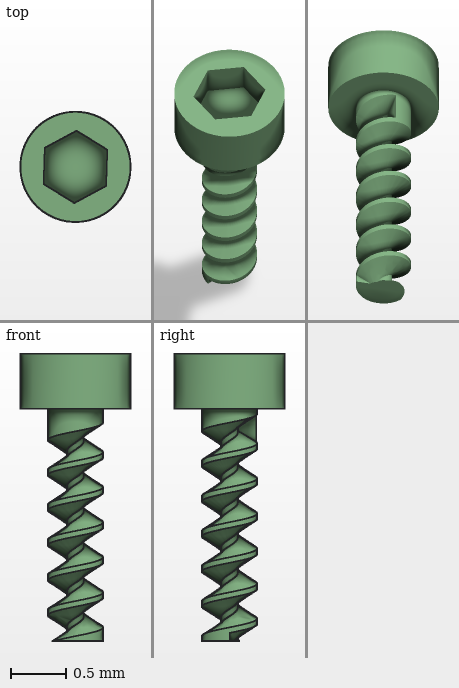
import cadquery as cq

head_diameter = 1.0
head_height = 0.5
shank_diameter = 0.5
shank_length = 2.1

socket_corner_diameter = 0.654
socket_sides = 6
socket_depth = 0.3
socket_turn = 28.2

pitch = 0.317
core_diameter = 0.154
crest_width = 0.05
root_width = 0.064
full_turns = 6
runout_angle = 104
first_turn_depth = 0.257
overcut = 0.02

shank_radius = shank_diameter / 2
core_radius = core_diameter / 2


def make_head():
    """Plain cylinder standing on the plane z = 0."""
    return cq.Workplane("XY").circle(head_diameter / 2).extrude(head_height)


def make_shank():
    """Plain cylinder hanging from the underside of the head."""
    return cq.Workplane("XY").circle(shank_radius).extrude(-shank_length)


def make_socket():
    """Hexagonal prism sunk from the top of the head."""
    return (
        cq.Workplane("XY")
        .workplane(offset=head_height)
        .transformed(rotate=(0, 0, socket_turn))
        .polygon(socket_sides, socket_corner_diameter)
        .extrude(-socket_depth)
    )


def make_groove():
    """Trapezoid swept up a right-handed helix, from +X at the tip to the runout below the head."""
    mouth_half_width = (pitch - crest_width) / 2
    root_half_width = root_width / 2
    flank_slope = (mouth_half_width - root_half_width) / (shank_radius - core_radius)
    outer_radius = shank_radius + overcut
    outer_half_width = mouth_half_width + flank_slope * overcut

    groove_height = pitch * (full_turns + runout_angle / 360)
    lower_end = cq.Vector(0, 0, -first_turn_depth - full_turns * pitch)
    helix = cq.Wire.makeHelix(pitch, groove_height, shank_radius, center=lower_end)
    profile = cq.Workplane("XZ", origin=lower_end.toTuple()).polyline(
        [
            (core_radius, -root_half_width),
            (outer_radius, -outer_half_width),
            (outer_radius, outer_half_width),
            (core_radius, root_half_width),
        ]
    ).close()
    return profile.sweep(cq.Workplane(obj=helix), isFrenet=True)


threaded_shank = make_shank().cut(make_groove())
result = make_head().union(threaded_shank).cut(make_socket())